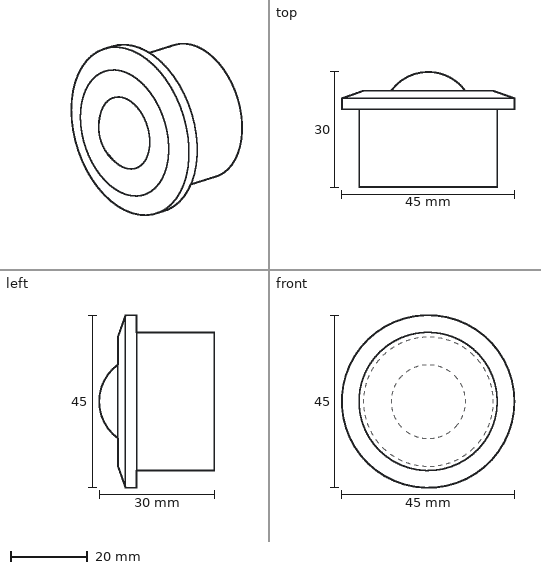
import cadquery as cq

flange_diameter = 45.0
body_diameter = 36.0
body_length = 20.2
rim_thickness = 2.92
bevel_height = 2.0
bevel_top_diameter = 33.75
ball_diameter = 23.85
ball_protrusion = 4.9

rim_end = body_length + rim_thickness
flange_face = rim_end + bevel_height
ball_center = flange_face + ball_protrusion - ball_diameter / 2


def make_housing():
    """Cylindrical cup with a bevelled flange, revolved about Y."""
    return (
        cq.Workplane("XY")
        .moveTo(0, 0)
        .lineTo(body_diameter / 2, 0)
        .lineTo(body_diameter / 2, body_length)
        .lineTo(flange_diameter / 2, body_length)
        .lineTo(flange_diameter / 2, rim_end)
        .lineTo(bevel_top_diameter / 2, flange_face)
        .lineTo(0, flange_face)
        .close()
        .revolve(360, (0, 0, 0), (0, 1, 0))
    )


def make_ball():
    """Ball protruding from the flange face, its poles on the Y axis."""
    ball_radius = ball_diameter / 2
    return (
        cq.Workplane("XY")
        .moveTo(0, ball_center - ball_radius)
        .threePointArc((ball_radius, ball_center), (0, ball_center + ball_radius))
        .close()
        .revolve(360, (0, 0, 0), (0, 1, 0))
    )


result = make_housing().union(make_ball())